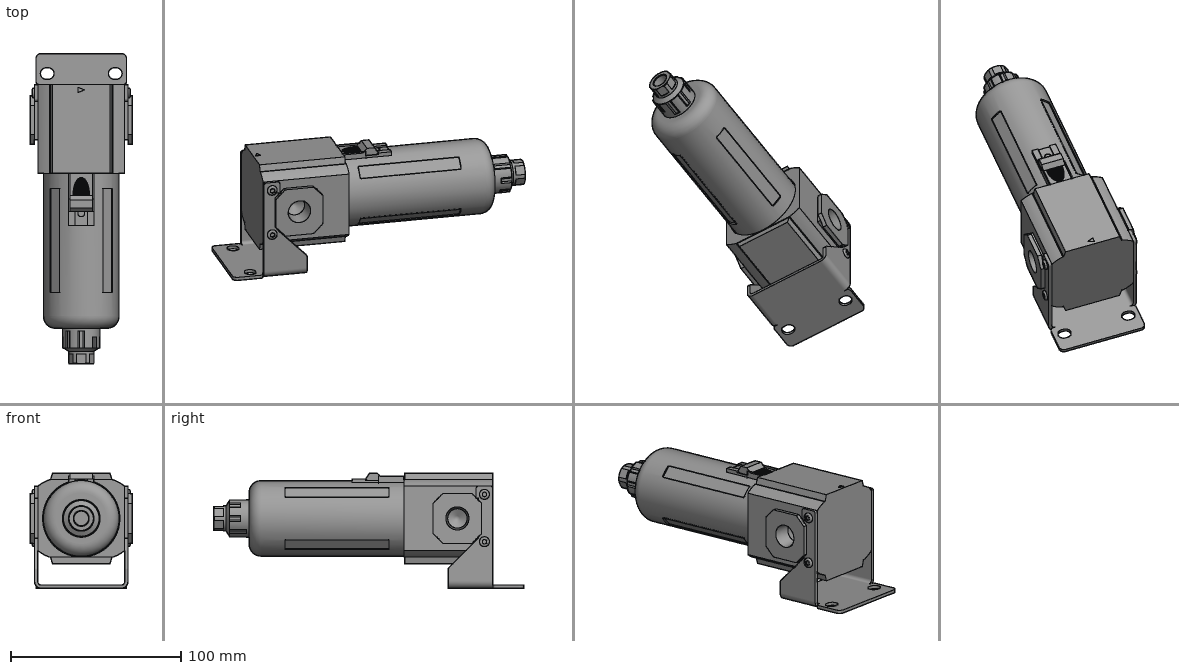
import cadquery as cq
import math


HOUSING_BACK = 20.8
HOUSING_FRONT = -31.4
HOUSING_LENGTH = HOUSING_BACK - HOUSING_FRONT
HOUSING_HALF_WIDTH = 25.5
HOUSING_HALF_HEIGHT = 22.8
SIDE_HALF_HEIGHT = 19.0
TOP_HALF_WIDTH = 18.7
CORNER_RADIUS = 24.0
PAD_HALF_WIDTH = 18.1
PAD_TOP_HALF_WIDTH = 16.9
PAD_SETBACK = 0.4
PAD_TOP = 26.65
ARROW_LENGTH = 3.6
ARROW_WIDTH = 3.0
ARROW_DEPTH = 0.2
ARROW_FROM_BACK = 3.1

RECESS_DEPTH = 3.0
RECESS_GAP = 0.5

PORT_NECK_HALF = 11.7
PORT_FACE = 30.0
PLATE_WIDTH = 28.6
PLATE_HEIGHT = 29.2
PLATE_CHAMFER = 5.7
PORT_RADIUS = 6.8
PORT_INNER_RADIUS = 5.7
PORT_DEPTH = 10.0
DRILL_TIP_ANGLE = 118

SHEET = 2.0
BRACKET_OUTER = HOUSING_HALF_WIDTH + SHEET
BRACKET_BOTTOM = -41.05
BEND_OUTER = 2 * SHEET
BRACKET_TOP = SIDE_HALF_HEIGHT
TAB_FRONT = 11.0
TAB_RADIUS = 1.5
ARM_FRONT = 12.3
ARM_STEP_TOP = 12.0
ARM_SLOPE_TOP = -11.6
FOOT_FRONT = -5.5
FOOT_RADIUS = 1.5
FLANGE_LENGTH = 18.26
FLANGE_HALF_WIDTH = 26.7
FLANGE_BACK_RADIUS = 3.0
FLANGE_FRONT_RADIUS = 2.0
SLOT_SPACING = 40.0
SLOT_LENGTH = 7.9
SLOT_WIDTH = 6.6
SLOT_FROM_WALL = 6.5

SCREW_Y = 15.9
SCREW_HEIGHTS = (14.1, -13.7)
HEAD_RADIUS = 2.95
HEAD_HEIGHT = 1.3
HEAD_ROUND = 1.0
SHANK_RADIUS = 2.0
SHANK_LENGTH = 8.0
SOCKET_SIDES = 6
SOCKET_ACROSS_CORNERS = 2.9
SOCKET_DEPTH = 0.9

BOWL_RADIUS = 22.25
BOWL_END = -122.45
BOWL_ROUND = 7.1
WINDOW_BACK = -40.1
WINDOW_FRONT = -101.4
WINDOW_WIDTH = 7.9
WINDOW_FLOOR = 21.2
WINDOW_CORNER = 0.7
WINDOW_ANGLES = (45, 135, 225, 315)

SEAT_HALF_WIDTH = 7.4
SEAT_BACK = -46.3
SEAT_FRONT = -61.9
SEAT_TOP = 23.3
SEAT_STEP = 22.3
CHANNEL_HALF_WIDTH = 3.6
POCKET_FLOOR = 20.0
BUTTON_HALF_WIDTH = 6.75
BUTTON_TOP = 23.9
CHEEK_TOP = 24.9
BUTTON_CREST = 26.6
THUMB_FACE_END = -44.4
CREST_BACK = -47.1
CREST_FRONT = -51.7
BUTTON_NOSE = -53.9
NOSE_UNDERCUT = 1.1
TONGUE_RADIUS = 2.0
TONGUE_REACH = 2.9
TONGUE_THICKNESS = 0.5
GRIP_HALF_WIDTH = 4.9
GRIP_LENGTH = 10.6
GRIP_DEPTH = 0.5
RIDGE_PITCH = 0.8

KNOB_RADIUS = 11.1
KNOB_FRONT = -134.0
KNOB_NOSE = -135.9
CONE_RADIUS = 10.5
NIPPLE_RADIUS = 7.5
NIPPLE_CHAMFER = 0.4
FLATS_START = -137.4
FLATS_ACROSS = 14.0
FLAT_COUNT = 6
COCK_END = -143.24
BORE_RADIUS = 4.3
BORE_CHAMFER = 0.4
BORE_DEPTH = 10.0
GROOVE_COUNT = 8
GROOVE_TOP_WIDTH = 4.1
GROOVE_FLOOR_WIDTH = 1.8
GROOVE_DEPTH = KNOB_RADIUS - CONE_RADIUS
LONG_GROOVE_START = -124.0
SHORT_GROOVE_START = -127.5
LONG_GROOVES = (2, 3, 6, 7)


def box(x0, x1, y0, y1, z0, z1):
    return cq.Workplane("XY").box(x1 - x0, y1 - y0, z1 - z0, centered=False).translate((x0, y0, z0))


def along_y(y):
    """Workplane at position y that extrudes towards -Y, with local axes X and Z."""
    return cq.Workplane("XZ", origin=(0, y, 0))


def both_sides(shape):
    """The shape and its mirror image across the YZ plane."""
    return [shape, shape.mirror("YZ")]


def pad(side):
    """Raised pad above (side = 1) or below (side = -1) the housing block."""
    base, top = side * HOUSING_HALF_HEIGHT, side * PAD_TOP
    points = [
        (PAD_HALF_WIDTH, base),
        (PAD_TOP_HALF_WIDTH, top),
        (-PAD_TOP_HALF_WIDTH, top),
        (-PAD_HALF_WIDTH, base),
    ]
    return along_y(HOUSING_BACK).polyline(points).close().extrude(HOUSING_LENGTH - PAD_SETBACK)


def housing_block():
    w, s = HOUSING_HALF_WIDTH, SIDE_HALF_HEIGHT
    t, h = TOP_HALF_WIDTH, HOUSING_HALF_HEIGHT
    return (
        along_y(HOUSING_BACK)
        .moveTo(w, -s).lineTo(w, s)
        .radiusArc((t, h), -CORNER_RADIUS).lineTo(-t, h)
        .radiusArc((-w, s), -CORNER_RADIUS).lineTo(-w, -s)
        .radiusArc((-t, -h), -CORNER_RADIUS).lineTo(t, -h)
        .radiusArc((w, -s), -CORNER_RADIUS).close()
        .extrude(HOUSING_LENGTH)
    )


def port_boss():
    neck = box(0, BRACKET_OUTER, -PORT_NECK_HALF, PORT_NECK_HALF, -PORT_NECK_HALF, PORT_NECK_HALF)
    plate = (
        cq.Workplane("YZ", origin=(BRACKET_OUTER, 0, 0))
        .rect(PLATE_WIDTH, PLATE_HEIGHT)
        .extrude(PORT_FACE - BRACKET_OUTER)
        .edges("|X").chamfer(PLATE_CHAMFER)
    )
    return neck.union(plate)


def port_hole():
    """Tapered port with a drill point at its bottom."""
    bottom = PORT_FACE - PORT_DEPTH
    tip = bottom - PORT_INNER_RADIUS / math.tan(math.radians(DRILL_TIP_ANGLE / 2))
    return (
        cq.Workplane("XY")
        .polyline([(tip, 0), (bottom, PORT_INNER_RADIUS), (PORT_FACE, PORT_RADIUS), (PORT_FACE, 0)])
        .close()
        .revolve(360, (0, 0, 0), (1, 0, 0))
    )


def flow_arrow():
    """Shallow triangle in the upper pad, pointing along the flow towards +X."""
    y = HOUSING_BACK - ARROW_FROM_BACK
    tail, tip, half = -ARROW_LENGTH / 2, ARROW_LENGTH / 2, ARROW_WIDTH / 2
    return (
        cq.Workplane("XY", origin=(0, y, PAD_TOP))
        .polyline([(tail, -half), (tip, 0), (tail, half)])
        .close()
        .extrude(-ARROW_DEPTH)
    )


def screw_shank(z):
    return (
        cq.Workplane("YZ", origin=(BRACKET_OUTER, SCREW_Y, z))
        .circle(SHANK_RADIUS)
        .extrude(-SHANK_LENGTH)
    )


def make_housing():
    body = housing_block().union(pad(1)).union(pad(-1))
    for boss in both_sides(port_boss()):
        body = body.union(boss)
    for hole in both_sides(port_hole()):
        body = body.cut(hole)
    for z in SCREW_HEIGHTS:
        for shank in both_sides(screw_shank(z)):
            body = body.cut(shank)
    recess = (
        along_y(HOUSING_FRONT + RECESS_DEPTH)
        .circle(BOWL_RADIUS + RECESS_GAP).extrude(RECESS_DEPTH)
    )
    return body.cut(recess).cut(flow_arrow())


def bracket_arm():
    """Side outline of the bracket across its full width, for trimming the bent channel."""
    slope_end = ARM_SLOPE_TOP - (ARM_FRONT - FOOT_FRONT)
    return (
        cq.Workplane("YZ", origin=(-BRACKET_OUTER, 0, 0))
        .moveTo(HOUSING_BACK, BRACKET_BOTTOM)
        .lineTo(HOUSING_BACK, BRACKET_TOP - TAB_RADIUS)
        .radiusArc((HOUSING_BACK - TAB_RADIUS, BRACKET_TOP), -TAB_RADIUS)
        .lineTo(TAB_FRONT + TAB_RADIUS, BRACKET_TOP)
        .radiusArc((TAB_FRONT, BRACKET_TOP - TAB_RADIUS), -TAB_RADIUS)
        .lineTo(TAB_FRONT, ARM_STEP_TOP)
        .lineTo(ARM_FRONT, ARM_STEP_TOP)
        .lineTo(ARM_FRONT, ARM_SLOPE_TOP)
        .lineTo(FOOT_FRONT, slope_end)
        .lineTo(FOOT_FRONT, BRACKET_BOTTOM)
        .close()
        .extrude(2 * BRACKET_OUTER)
        .edges(cq.selectors.NearestToPointSelector((0, FOOT_FRONT, slope_end))).fillet(FOOT_RADIUS)
    )


def bracket_channel():
    length = HOUSING_BACK - FOOT_FRONT
    height = BRACKET_TOP - BRACKET_BOTTOM
    outer = (
        along_y(HOUSING_BACK).center(0, BRACKET_BOTTOM + height / 2)
        .rect(2 * BRACKET_OUTER, height).extrude(length)
        .edges("|Y and <Z").fillet(BEND_OUTER)
    )
    inner = (
        along_y(HOUSING_BACK).center(0, BRACKET_BOTTOM + SHEET + height / 2)
        .rect(2 * HOUSING_HALF_WIDTH, height).extrude(length)
        .edges("|Y and <Z").fillet(BEND_OUTER - SHEET)
    )
    return outer.cut(inner)


def bracket_flange():
    flange = box(
        -FLANGE_HALF_WIDTH, FLANGE_HALF_WIDTH, HOUSING_BACK, HOUSING_BACK + FLANGE_LENGTH,
        BRACKET_BOTTOM, BRACKET_BOTTOM + SHEET,
    )
    flange = flange.edges("|Z and >Y").fillet(FLANGE_BACK_RADIUS)
    flange = flange.edges("|Z and <Y").fillet(FLANGE_FRONT_RADIUS)
    slots = (
        cq.Workplane("XY", origin=(0, HOUSING_BACK + SLOT_FROM_WALL, BRACKET_BOTTOM))
        .pushPoints([(-SLOT_SPACING / 2, 0), (SLOT_SPACING / 2, 0)])
        .slot2D(SLOT_LENGTH, SLOT_WIDTH)
        .extrude(SHEET)
    )
    return flange.cut(slots)


def make_bracket():
    sheet = bracket_channel().intersect(bracket_arm()).union(bracket_flange())
    for z in SCREW_HEIGHTS:
        for shank in both_sides(screw_shank(z)):
            sheet = sheet.cut(shank)
    return sheet


def make_screw(z):
    """Socket head screw on the +X side."""
    seat = cq.Workplane("YZ", origin=(BRACKET_OUTER, SCREW_Y, z))
    head = seat.circle(HEAD_RADIUS).extrude(HEAD_HEIGHT).faces(">X").edges().fillet(HEAD_ROUND)
    socket = (
        cq.Workplane("YZ", origin=(BRACKET_OUTER + HEAD_HEIGHT, SCREW_Y, z))
        .transformed(rotate=(0, 0, 90))
        .polygon(SOCKET_SIDES, SOCKET_ACROSS_CORNERS)
        .extrude(-SOCKET_DEPTH)
    )
    return head.union(screw_shank(z)).cut(socket)


def bowl_window():
    return (
        cq.Workplane("XY", origin=(0, (WINDOW_BACK + WINDOW_FRONT) / 2, WINDOW_FLOOR))
        .rect(WINDOW_WIDTH, WINDOW_BACK - WINDOW_FRONT)
        .extrude(BOWL_RADIUS)
        .edges("|Z").fillet(WINDOW_CORNER)
    )


def make_bowl():
    back = HOUSING_FRONT + RECESS_DEPTH
    bowl = along_y(back).circle(BOWL_RADIUS).extrude(back - BOWL_END)
    bowl = bowl.faces("<Y").edges().fillet(BOWL_ROUND)
    for angle in WINDOW_ANGLES:
        bowl = bowl.cut(bowl_window().rotate((0, 0, 0), (0, 1, 0), angle))
    seat = box(-SEAT_HALF_WIDTH, SEAT_HALF_WIDTH, SEAT_FRONT, SEAT_BACK, POCKET_FLOOR, SEAT_TOP)
    under_button = box(-SEAT_HALF_WIDTH, SEAT_HALF_WIDTH, BUTTON_NOSE, SEAT_BACK, SEAT_STEP, SEAT_TOP)
    channel = box(-CHANNEL_HALF_WIDTH, CHANNEL_HALF_WIDTH, SEAT_FRONT, SEAT_BACK, SEAT_STEP, SEAT_TOP)
    pocket = box(-SEAT_HALF_WIDTH, SEAT_HALF_WIDTH, SEAT_BACK, HOUSING_FRONT, POCKET_FLOOR, BOWL_RADIUS)
    return bowl.union(seat).cut(under_button).cut(channel).cut(pocket)


def grip():
    """Half-ellipse recess in the thumb face, crossed by ridges."""
    y = THUMB_FACE_END
    recess = (
        cq.Workplane("XY", origin=(0, y, BUTTON_TOP))
        .ellipse(GRIP_HALF_WIDTH, GRIP_LENGTH)
        .extrude(-GRIP_DEPTH)
        .intersect(box(-GRIP_HALF_WIDTH, GRIP_HALF_WIDTH, y, y + GRIP_LENGTH, 0, BUTTON_TOP))
    )
    for i in range(int(GRIP_LENGTH / RIDGE_PITCH)):
        start = y + i * RIDGE_PITCH + RIDGE_PITCH / 2
        recess = recess.cut(
            box(-GRIP_HALF_WIDTH, GRIP_HALF_WIDTH, start, start + RIDGE_PITCH / 2, 0, BUTTON_TOP)
        )
    return recess


def make_button():
    profile = [
        (HOUSING_FRONT, POCKET_FLOOR),
        (HOUSING_FRONT, BUTTON_TOP),
        (THUMB_FACE_END, BUTTON_TOP),
        (CREST_BACK, BUTTON_CREST),
        (CREST_FRONT, BUTTON_CREST),
        (BUTTON_NOSE, SEAT_TOP),
        (BUTTON_NOSE + NOSE_UNDERCUT, SEAT_STEP),
        (SEAT_BACK, SEAT_STEP),
        (SEAT_BACK, POCKET_FLOOR),
    ]
    button = (
        cq.Workplane("YZ", origin=(-BUTTON_HALF_WIDTH, 0, 0))
        .polyline(profile).close()
        .extrude(2 * BUTTON_HALF_WIDTH)
    )
    tongue_y = BUTTON_NOSE - TONGUE_REACH + TONGUE_RADIUS
    tongue_top = SEAT_STEP + TONGUE_THICKNESS
    tongue = box(-TONGUE_RADIUS, TONGUE_RADIUS, tongue_y, CREST_FRONT, SEAT_STEP, tongue_top)
    tip = (
        cq.Workplane("XY", origin=(0, tongue_y, SEAT_STEP))
        .circle(TONGUE_RADIUS).extrude(TONGUE_THICKNESS)
    )
    cheek = box(BUTTON_HALF_WIDTH, SEAT_HALF_WIDTH, SEAT_BACK, HOUSING_FRONT, POCKET_FLOOR, CHEEK_TOP)
    for side in both_sides(cheek):
        button = button.union(side)
    return button.union(tongue).union(tip).cut(grip())


def knob_groove(start):
    """Tapered groove on the +Z side of the knob, running off its front end."""
    return (
        along_y(start)
        .polyline([
            (-GROOVE_FLOOR_WIDTH / 2, KNOB_RADIUS - GROOVE_DEPTH),
            (GROOVE_FLOOR_WIDTH / 2, KNOB_RADIUS - GROOVE_DEPTH),
            (GROOVE_TOP_WIDTH / 2, KNOB_RADIUS),
            (-GROOVE_TOP_WIDTH / 2, KNOB_RADIUS),
        ])
        .close()
        .extrude(start - KNOB_FRONT)
    )


def make_drain_cock():
    cock = (
        cq.Workplane("XY")
        .polyline([
            (0, BOWL_END),
            (KNOB_RADIUS, BOWL_END),
            (KNOB_RADIUS, KNOB_FRONT),
            (CONE_RADIUS, KNOB_FRONT),
            (NIPPLE_RADIUS, KNOB_NOSE),
            (NIPPLE_RADIUS, COCK_END + NIPPLE_CHAMFER),
            (NIPPLE_RADIUS - NIPPLE_CHAMFER, COCK_END),
            (0, COCK_END),
        ])
        .close()
        .revolve(360, (0, 0, 0), (0, 1, 0))
    )
    for number in range(GROOVE_COUNT):
        start = LONG_GROOVE_START if number in LONG_GROOVES else SHORT_GROOVE_START
        turn = 90 - number * 360 / GROOVE_COUNT
        cock = cock.cut(knob_groove(start).rotate((0, 0, 0), (0, 1, 0), turn))
    flats_length = FLATS_START - COCK_END
    flats = (
        along_y(FLATS_START)
        .circle(KNOB_RADIUS)
        .polygon(FLAT_COUNT, FLATS_ACROSS / math.cos(math.pi / FLAT_COUNT))
        .extrude(flats_length)
    )
    bore = along_y(COCK_END + BORE_DEPTH).circle(BORE_RADIUS).extrude(BORE_DEPTH)
    mouth = cq.Workplane("XY").add(cq.Solid.makeCone(
        BORE_RADIUS + BORE_CHAMFER, BORE_RADIUS, BORE_CHAMFER, cq.Vector(0, COCK_END, 0), cq.Vector(0, 1, 0),
    ))
    return cock.cut(flats).cut(bore).cut(mouth)


housing = make_housing()
bracket = make_bracket()
bowl = make_bowl()
button = make_button()
drain_cock = make_drain_cock()
screws = [screw for z in SCREW_HEIGHTS for screw in both_sides(make_screw(z))]

result = cq.Compound.makeCompound([
    housing.val(),
    bracket.val(),
    bowl.val(),
    button.val(),
    drain_cock.val(),
    *[screw.val() for screw in screws],
])